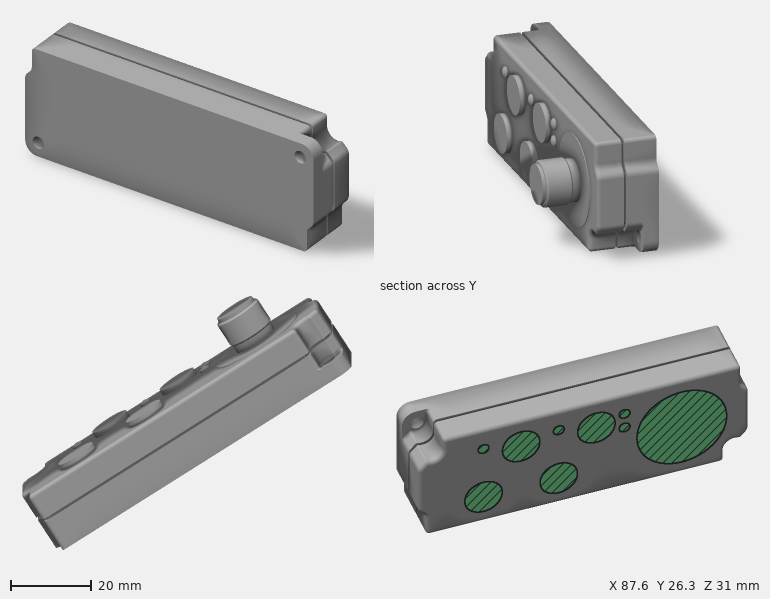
import cadquery as cq

LENGTH = 87.6
HEIGHT = 31.0
DEPTH = 16.2
TOTAL_DEPTH = 26.3
HALF_X = LENGTH / 2
HALF_Z = HEIGHT / 2

REAR_ROUND = 1.0
SMALL_CORNER = 1.0
LUG_CORNER = 3.6
STEP_ROUND = 2.0

NOTCH_WIDTH = 2.0
SHOULDER = 8.5

HOLE_INSET = 4.0
HOLE_DIAMETER = 3.5
LUG_THICKNESS = 4.0
POCKET_RADIUS = 3.0
POCKET_FLOOR_ROUND = 0.5
POCKET_LIP_ROUND = 0.5

PINHOLE_X_INSET = 7.5
PINHOLE_DIAMETER = 0.2
PINHOLE_DEPTH = 0.5

OVERCUT = 5.0

SEAM_START = 8.45
SEAM_END = 9.25
SEAM_DEPTH = 1.4

CONNECTOR_X = -HALF_X + 17.8
FLANGE_DIAMETER = 24.0
FLANGE_THICKNESS = 0.2
NECK_DIAMETER = 11.1
COLLAR_DIAMETER = 12.0
COLLAR_START = 18.45
COLLAR_END = 25.4
COLLAR_CHAMFER = 0.5
TIP_DIAMETER = 10.4

PORT_COUNT = 4
PORT_PITCH = 10.0
FIRST_PORT_X = -HALF_X + 40.5
PORT_ROW_Z = 7.0
PORT_DIAMETER = 10.1
PORT_HEIGHT = 1.5
LAMP_DIAMETER = 3.0
LAMP_RIM_HEIGHT = 0.4
LAMP_DOME_HEIGHT = 0.6
LAMP_OFFSET = 2.3
STATUS_LAMP_X = -HALF_X + 33.0


def prism(sketch, start, end):
    """Extrude a closed XZ outline from Y = start to Y = end."""
    return sketch.extrude(start - end).translate((0, start, 0))


def cylinder(x, z, diameter, start, end):
    """Round bar along Y."""
    return prism(cq.Workplane("XZ").center(x, z).circle(diameter / 2), start, end)


def both_ends(points):
    """The given XZ points and their half-turn copies."""
    return points + [(-x, -z) for x, z in points]


def round_edges(solid, points, y, radius):
    """Round the edges along Y that pass nearest the given XZ points."""
    for x, z in points:
        near = cq.selectors.NearestToPointSelector((x, y, z))
        solid = solid.edges("|Y").edges(near).fillet(radius)
    return solid


def housing_block():
    """Block with a notch at two opposite corners."""
    plain_corner = (-HALF_X + NOTCH_WIDTH, HALF_Z)
    shoulder_foot = (-HALF_X + NOTCH_WIDTH, HALF_Z - SHOULDER + NOTCH_WIDTH)
    shoulder_tip = (-HALF_X, HALF_Z - SHOULDER)
    lug_corner = (-HALF_X, -HALF_Z)
    outline = both_ends([plain_corner, shoulder_foot, shoulder_tip, lug_corner])
    block = prism(cq.Workplane("XZ").polyline(outline).close(), 0, DEPTH)
    middle = DEPTH / 2
    block = round_edges(block, both_ends([plain_corner]), middle, SMALL_CORNER)
    block = round_edges(block, both_ends([shoulder_foot, shoulder_tip]), middle, STEP_ROUND)
    return round_edges(block, both_ends([lug_corner]), middle, LUG_CORNER)


def lug_pocket():
    """Cutter that leaves a thin lug in the lower corner on the -X side."""
    well_x = -HALF_X + LUG_CORNER
    well_z = -HALF_Z + LUG_CORNER
    wall_x = well_x + POCKET_RADIUS
    outside_x = -HALF_X - OVERCUT
    outside_z = -HALF_Z - OVERCUT
    slope_end_z = -HALF_Z + SHOULDER - LUG_CORNER
    slope_start_z = -HALF_Z + SHOULDER + OVERCUT
    mouth = cq.Workplane("XZ").polyline([
        (outside_x, outside_z),
        (wall_x, outside_z),
        (wall_x, well_z),
        (well_x, slope_end_z),
        (outside_x, slope_start_z),
    ]).close()
    end = DEPTH + OVERCUT
    well = cylinder(well_x, well_z, 2 * POCKET_RADIUS, LUG_THICKNESS, end)
    return prism(mouth, LUG_THICKNESS, end).union(well)


def cut_lug(body):
    """Cut one lug pocket and round the edges it leaves."""
    body = body.cut(lug_pocket())
    lip = (-HALF_X, -HALF_Z + SHOULDER)
    bump = (-HALF_X + LUG_CORNER - POCKET_RADIUS / 2, -HALF_Z + LUG_CORNER + POCKET_RADIUS)
    wall_end = (-HALF_X + LUG_CORNER + POCKET_RADIUS, -HALF_Z)
    body = round_edges(body, [lip], DEPTH, STEP_ROUND)
    body = round_edges(body, [bump], DEPTH, POCKET_LIP_ROUND)
    body = round_edges(body, [wall_end], DEPTH, SMALL_CORNER)
    wall_foot = (wall_end[0], LUG_THICKNESS, -HALF_Z + LUG_CORNER / 2)
    foot_edge = body.edges(cq.selectors.NearestToPointSelector(wall_foot))
    return foot_edge.fillet(POCKET_FLOOR_ROUND)


def half_turn(body):
    """Turn the body half a turn about the Y axis, which swaps its two lugs."""
    return body.rotate((0, 0, 0), (0, 1, 0), 180)


def seam_groove(body):
    """Cutter that follows the body outline between the two housing halves."""
    outline = body.faces(">Y").wires().val()
    core = outline.offset2D(-SEAM_DEPTH)[0]
    width = SEAM_END - SEAM_START
    inside = cq.Solid.extrudeLinear(core, [], cq.Vector(0, width, 0))
    inside = inside.translate(cq.Vector(0, SEAM_START - DEPTH, 0))
    block = cq.Workplane("XY").box(LENGTH + OVERCUT, width, HEIGHT + OVERCUT)
    block = block.translate((0, (SEAM_START + SEAM_END) / 2, 0))
    return block.cut(cq.Workplane(inside))


def housing():
    """Housing with two lugs, rounded connector face, seam and screw holes."""
    body = cut_lug(housing_block())
    body = half_turn(cut_lug(half_turn(body)))
    groove = seam_groove(body)
    body = body.faces(">Y").edges().fillet(REAR_ROUND).cut(groove)
    for x, z in both_ends([(-HALF_X + HOLE_INSET, -HALF_Z + HOLE_INSET)]):
        body = body.cut(cylinder(x, z, HOLE_DIAMETER, 0, LUG_THICKNESS))
    pinhole_x = -HALF_X + PINHOLE_X_INSET
    pinhole_z = -HALF_Z + HOLE_INSET
    return body.cut(cylinder(pinhole_x, pinhole_z, PINHOLE_DIAMETER, 0, PINHOLE_DEPTH))


def connector():
    """Round connector: flange, neck, chamfered collar and tip."""
    flange = cylinder(CONNECTOR_X, 0, FLANGE_DIAMETER, DEPTH, DEPTH + FLANGE_THICKNESS)
    neck = cylinder(CONNECTOR_X, 0, NECK_DIAMETER, DEPTH, COLLAR_END)
    collar = cylinder(CONNECTOR_X, 0, COLLAR_DIAMETER, COLLAR_START, COLLAR_END)
    collar = collar.faces("<Y or >Y").chamfer(COLLAR_CHAMFER)
    tip = cylinder(CONNECTOR_X, 0, TIP_DIAMETER, COLLAR_END, TOTAL_DEPTH)
    return flange.union(neck).union(collar).union(tip)


def port(index):
    """Raised port disc; ports alternate between the upper and lower row."""
    x = FIRST_PORT_X + index * PORT_PITCH
    z = PORT_ROW_Z if index % 2 == 0 else -PORT_ROW_Z
    return cylinder(x, z, PORT_DIAMETER, DEPTH, DEPTH + PORT_HEIGHT)


def lamp(x, z):
    """Indicator lamp: a low round rim under a spherical cap."""
    rim_top = DEPTH + LAMP_RIM_HEIGHT
    top = rim_top + LAMP_DOME_HEIGHT
    rim_radius = LAMP_DIAMETER / 2
    sphere_radius = (rim_radius**2 + LAMP_DOME_HEIGHT**2) / (2 * LAMP_DOME_HEIGHT)
    sphere = cq.Workplane("XY").sphere(sphere_radius)
    sphere = sphere.translate((x, top - sphere_radius, z))
    dome = sphere.intersect(cylinder(x, z, LAMP_DIAMETER, rim_top, top))
    return cylinder(x, z, LAMP_DIAMETER, DEPTH, rim_top).union(dome)


result = housing().union(connector())
for i in range(PORT_COUNT):
    result = result.union(port(i))

upper_lamp_z = PORT_ROW_Z + LAMP_OFFSET
lower_lamp_z = PORT_ROW_Z - LAMP_OFFSET
lamp_places = [(STATUS_LAMP_X, upper_lamp_z), (STATUS_LAMP_X, lower_lamp_z)]
for i in range(1, PORT_COUNT, 2):
    lamp_places.append((FIRST_PORT_X + i * PORT_PITCH, upper_lamp_z))
for x, z in lamp_places:
    result = result.union(lamp(x, z))